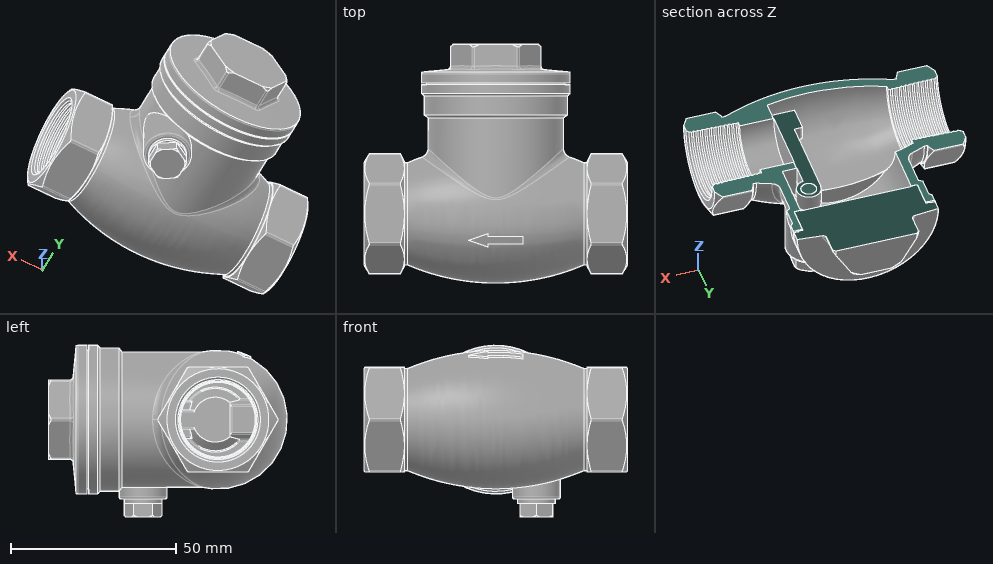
import cadquery as cq
import math


selection_margin = 1.0

half_length = 39.9
hex_end_length = 12.25
hex_end_flats = 31.7
hex_end_corner_fillet = 0.8
hex_turning_radius = 36.8 / 2
hex_outer_face_radius = 15.4
hex_outer_chamfer_length = 1.8
hex_inner_face_radius = 15.9
hex_inner_chamfer_length = 1.3
hex_inner_x = half_length - hex_end_length
end_neck_length = 1.0
bulge_half_length = hex_inner_x - end_neck_length
bulge_end_radius = 15.5
bulge_radius = 21.0
junction_fillet = 2.7

neck_radius = 41.0 / 2
collar_radius = 43.4 / 2
flange_radius = 45.0 / 2
collar_start_y = 29.0
collar_full_y = 29.9
flange_start_y = 35.6
flange_full_y = 36.4
flange_top_y = 39.1
gasket_thickness = 0.4

thread_mouth_radius = 25.7 / 2
thread_root_radius = 12.1
thread_depth = 0.35
thread_pitch = 1.4
thread_count = 11
thread_taper = 1 / 32
mouth_chamfer = 0.7
thread_end_x = half_length - mouth_chamfer - thread_count * thread_pitch
chamber_radius = 17.5
chamber_end_radius = 13.0
seat_x = 13.0
port_radius = 20.0 / 2
neck_bore_radius = 35.0 / 2
neck_bore_start_y = 13.0
bonnet_bore_radius = 38.9 / 2
spigot_end_y = 31.0

hinge_x = 12.3
hinge_y = 22.6
boss_radius = 14.5 / 2
boss_root_z = -5.0
boss_end_z = -24.0
boss_fillet = 0.6
washer_radius = 11.5 / 2
washer_thickness = 1.4
plug_head_flats = 10.0
plug_head_corner_radius = 11.6 / 2
plug_end_z = -29.5
plug_end_chamfer = 0.6
spindle_radius = 5.0 / 2

cap_flange_bottom_y = flange_top_y + gasket_thickness
cap_edge_y = 42.9
cap_rim_y = 42.35
cap_rim_draft = 0.1
cap_cone_top_y = 44.0
cap_cone_top_radius = 11.0
cap_top_y = 51.28
cap_hex_flats = 24.0
cap_hex_corner_fillet = 0.9
cap_hex_turning_radius = 27.6 / 2
cap_hex_chamfer = 0.9
cap_hex_fillet = 1.0
gasket_radius = 42.0 / 2

disc_y = 0.8
disc_radius = 25.0 / 2
disc_thickness = 2.0
hub_base_radius = 9.6
hub_base_fillet = 0.6
hub_top_radius = 6.8
hub_height = 2.6
stop_height = 5.2
stop_start_y = -3.6
stop_base_width = 12.0
stop_top_width = 8.8
stop_edge_fillet = 0.6
arm_width = 5.7
arm_edge_fillet = 0.5
knuckle_width = 11.4
knuckle_start_y = 7.9
knuckle_thickness = 3.2
eye_radius = 3.8

arrow_relief = 0.5
arrow_y = -8.0
arrow_tip_x = -8.2
arrow_barb_x = -2.4
arrow_tail_x = 8.2
arrow_barb_half_width = 2.0
arrow_shaft_half_width = 1.15


def hex_across_corners(flats):
    return flats / math.cos(math.pi / 6)


def revolve_about_x(points):
    return cq.Workplane("XY").polyline(points).close().revolve(360, (0, 0, 0), (1, 0, 0))


def revolve_about_y(points):
    return cq.Workplane("XY").polyline(points).close().revolve(360, (0, 0, 0), (0, 1, 0))


def barrel(half_span, end_radius, middle_radius):
    """Solid of revolution about X with a circular-arc side."""
    return (
        cq.Workplane("XY")
        .moveTo(-half_span, 0)
        .lineTo(-half_span, end_radius)
        .threePointArc((0, middle_radius), (half_span, end_radius))
        .lineTo(half_span, 0)
        .close()
        .revolve(360, (0, 0, 0), (1, 0, 0))
    )


def hex_end():
    """Hexagonal end at +X, flats facing +Z and -Z, turned down at both faces."""
    hexagon = (
        cq.Workplane("YZ", origin=(hex_inner_x, 0, 0))
        .polygon(6, hex_across_corners(hex_end_flats))
        .extrude(hex_end_length)
        .edges("|X")
        .fillet(hex_end_corner_fillet)
    )
    turning = revolve_about_x([
        (hex_inner_x, 0),
        (hex_inner_x, hex_inner_face_radius),
        (hex_inner_x + hex_inner_chamfer_length, hex_turning_radius),
        (half_length - hex_outer_chamfer_length, hex_turning_radius),
        (half_length, hex_outer_face_radius),
        (half_length, 0),
    ])
    return hexagon.intersect(turning)


def threaded_bore():
    """Tapered bore at +X with ring-shaped thread grooves and a chamfered mouth."""
    start_x = half_length - mouth_chamfer
    points = [(half_length, 0), (half_length, thread_mouth_radius), (start_x, thread_root_radius)]
    for turn in range(thread_count):
        groove_x = start_x - turn * thread_pitch
        crest_x = groove_x - thread_pitch / 2
        next_x = groove_x - thread_pitch
        crest_radius = thread_root_radius - thread_depth - (start_x - crest_x) * thread_taper
        points.append((crest_x, crest_radius))
        points.append((next_x, thread_root_radius - (start_x - next_x) * thread_taper))
    points.append((thread_end_x, 0))
    return revolve_about_x(points)


def on_both_ends(solid):
    return solid.union(solid.mirror("YZ"))


def flow_arrow():
    outline = [
        (arrow_tip_x, arrow_y),
        (arrow_barb_x, arrow_y + arrow_barb_half_width),
        (arrow_barb_x, arrow_y + arrow_shaft_half_width),
        (arrow_tail_x, arrow_y + arrow_shaft_half_width),
        (arrow_tail_x, arrow_y - arrow_shaft_half_width),
        (arrow_barb_x, arrow_y - arrow_shaft_half_width),
        (arrow_barb_x, arrow_y - arrow_barb_half_width),
    ]
    prism = (
        cq.Workplane("XY", origin=(0, 0, chamber_radius))
        .polyline(outline)
        .close()
        .extrude(bulge_radius)
    )
    raised_skin = barrel(bulge_half_length, bulge_end_radius + arrow_relief, bulge_radius + arrow_relief)
    return prism.intersect(raised_skin)


def outer_body():
    bulge = barrel(bulge_half_length, bulge_end_radius, bulge_radius)
    neck = cq.Workplane("XZ").circle(neck_radius).extrude(-collar_start_y)
    shell = bulge.union(neck)
    neck_reach = bulge_radius + selection_margin
    around_junction = cq.selectors.BoxSelector(
        (-neck_reach, 0, -neck_reach),
        (neck_reach, collar_start_y - selection_margin, neck_reach),
        boundingbox=True,
    )
    shell = shell.edges(around_junction).fillet(junction_fillet)
    collar_and_flange = revolve_about_y([
        (0, collar_start_y),
        (neck_radius, collar_start_y),
        (collar_radius, collar_full_y),
        (collar_radius, flange_start_y),
        (flange_radius, flange_full_y),
        (flange_radius, flange_top_y),
        (0, flange_top_y),
    ])
    end_necks = (
        cq.Workplane("YZ", origin=(bulge_half_length, 0, 0))
        .circle(bulge_end_radius)
        .extrude(end_neck_length)
    )
    hinge_boss = (
        cq.Workplane("XY", origin=(hinge_x, hinge_y, boss_root_z))
        .circle(boss_radius)
        .extrude(boss_end_z - boss_root_z)
        .faces("<Z")
        .edges()
        .fillet(boss_fillet)
    )
    return (
        shell.union(collar_and_flange)
        .union(on_both_ends(end_necks.union(hex_end())))
        .union(hinge_boss)
        .union(flow_arrow())
    )


def make_housing():
    inner_barrel = barrel(thread_end_x, chamber_end_radius, chamber_radius)
    upstream_block = cq.Workplane("YZ", origin=(seat_x, 0, 0)).circle(bulge_radius).extrude(half_length)
    chamber = inner_barrel.cut(upstream_block)
    port = cq.Workplane("YZ").circle(port_radius).extrude(thread_end_x)
    neck_bore = (
        cq.Workplane("XZ", origin=(0, neck_bore_start_y, 0))
        .circle(neck_bore_radius)
        .extrude(neck_bore_start_y - flange_top_y)
    )
    bonnet_bore = (
        cq.Workplane("XZ", origin=(0, spigot_end_y, 0))
        .circle(bonnet_bore_radius)
        .extrude(spigot_end_y - flange_top_y)
    )
    spindle_hole = (
        cq.Workplane("XY", origin=(hinge_x, hinge_y, boss_end_z)).circle(spindle_radius).extrude(-boss_end_z)
    )
    bore = threaded_bore()
    housing = outer_body()
    for cavity in (chamber, port, neck_bore, bonnet_bore, spindle_hole, bore, bore.mirror("YZ")):
        housing = housing.cut(cavity)
    return housing


def make_cap_gasket():
    return (
        cq.Workplane("XZ", origin=(0, flange_top_y, 0))
        .circle(gasket_radius)
        .circle(bonnet_bore_radius)
        .extrude(-gasket_thickness)
    )


def make_cap():
    flange = revolve_about_y([
        (0, cap_flange_bottom_y),
        (flange_radius, cap_flange_bottom_y),
        (flange_radius, cap_rim_y),
        (flange_radius - cap_rim_draft, cap_edge_y),
        (cap_cone_top_radius, cap_cone_top_y),
        (0, cap_cone_top_y),
    ])
    hexagon = (
        cq.Workplane("XZ", origin=(0, cap_edge_y, 0))
        .polygon(6, hex_across_corners(cap_hex_flats))
        .extrude(cap_edge_y - cap_top_y)
        .edges("|Y")
        .fillet(cap_hex_corner_fillet)
    )
    turning = (
        cq.Workplane("XZ", origin=(0, cap_edge_y, 0))
        .circle(cap_hex_turning_radius)
        .extrude(cap_edge_y - cap_top_y)
        .faces(">Y")
        .chamfer(cap_hex_chamfer)
    )
    spigot = (
        cq.Workplane("XZ", origin=(0, spigot_end_y, 0))
        .circle(bonnet_bore_radius)
        .extrude(spigot_end_y - cap_edge_y)
    )
    head = flange.union(hexagon.intersect(turning))
    root_reach = cap_hex_turning_radius + cap_hex_fillet
    around_hex_root = cq.selectors.BoxSelector(
        (-root_reach, cap_edge_y, -root_reach),
        (root_reach, cap_cone_top_y + cap_hex_fillet, root_reach),
        boundingbox=True,
    )
    head = head.edges(around_hex_root).fillet(cap_hex_fillet)
    return head.union(spigot)


def make_washer():
    return (
        cq.Workplane("XY", origin=(hinge_x, hinge_y, boss_end_z))
        .circle(washer_radius)
        .circle(spindle_radius)
        .extrude(-washer_thickness)
    )


def make_plug():
    """Hexagon-headed plug whose spindle carries the flap."""
    head_top_z = boss_end_z - washer_thickness
    head_height = head_top_z - plug_end_z
    base = cq.Workplane("XY", origin=(hinge_x, hinge_y, plug_end_z))
    hexagon = (
        base.transformed(rotate=(0, 0, 90))
        .polygon(6, hex_across_corners(plug_head_flats))
        .extrude(head_height)
    )
    turning = base.circle(plug_head_corner_radius).extrude(head_height).faces("<Z").chamfer(plug_end_chamfer)
    spindle = base.circle(spindle_radius).extrude(knuckle_width / 2 - plug_end_z)
    return hexagon.intersect(turning).union(spindle)


def stop_lug():
    """Tapered lug on the -Y side of the disc, trimmed to the disc outline."""
    disc_back_x = seat_x - disc_thickness
    top_x = disc_back_x - stop_height
    lug = (
        cq.Workplane("XZ", origin=(0, stop_start_y, 0))
        .polyline([
            (disc_back_x, -stop_base_width / 2),
            (disc_back_x, stop_base_width / 2),
            (top_x, stop_top_width / 2),
            (top_x, -stop_top_width / 2),
        ])
        .close()
        .extrude(disc_radius)
    )
    lug = lug.faces("<X").edges().fillet(stop_edge_fillet)
    outline = cq.Workplane("YZ", origin=(top_x, disc_y, 0)).circle(disc_radius).extrude(stop_height)
    return lug.intersect(outline)


def make_flap():
    disc_back_x = seat_x - disc_thickness
    hub_top_x = disc_back_x - hub_height
    disc = cq.Workplane("YZ", origin=(disc_back_x, disc_y, 0)).circle(disc_radius).extrude(disc_thickness)
    hub = revolve_about_x([
        (disc_back_x, 0),
        (disc_back_x, hub_base_radius),
        (hub_top_x, hub_top_radius),
        (hub_top_x, 0),
    ]).translate((0, disc_y, 0))
    plate = disc.union(hub).union(stop_lug())
    inner_reach = disc_radius - selection_margin
    inside_disc_back = cq.selectors.BoxSelector(
        (disc_back_x - selection_margin, disc_y - disc_radius - selection_margin, -inner_reach),
        (disc_back_x + selection_margin, disc_y + inner_reach, inner_reach),
        boundingbox=True,
    )
    plate = plate.edges(inside_disc_back).fillet(hub_base_fillet)
    arm = (
        cq.Workplane("XY")
        .box(hub_height + disc_thickness, hinge_y, arm_width, centered=(False, False, True))
        .edges("<X and |Y")
        .fillet(arm_edge_fillet)
        .translate((hub_top_x, 0, 0))
    )
    knuckle = (
        cq.Workplane("XY")
        .box(knuckle_thickness, hinge_y - knuckle_start_y, knuckle_width, centered=(False, False, True))
        .edges("(<X and |Y) or (<X and <Y)")
        .fillet(arm_edge_fillet)
        .translate((seat_x - knuckle_thickness, knuckle_start_y, 0))
    )
    eye_base = cq.Workplane("XY", origin=(hinge_x, hinge_y, -knuckle_width / 2))
    eye = eye_base.circle(eye_radius).extrude(knuckle_width)
    pivot = eye_base.circle(spindle_radius).extrude(knuckle_width)
    return plate.union(arm).union(knuckle).union(eye).cut(pivot)


housing = make_housing()
cap_gasket = make_cap_gasket()
cap = make_cap()
washer = make_washer()
plug = make_plug()
flap = make_flap()

result = cq.Compound.makeCompound([
    housing.val(),
    cap_gasket.val(),
    cap.val(),
    washer.val(),
    plug.val(),
    flap.val(),
])